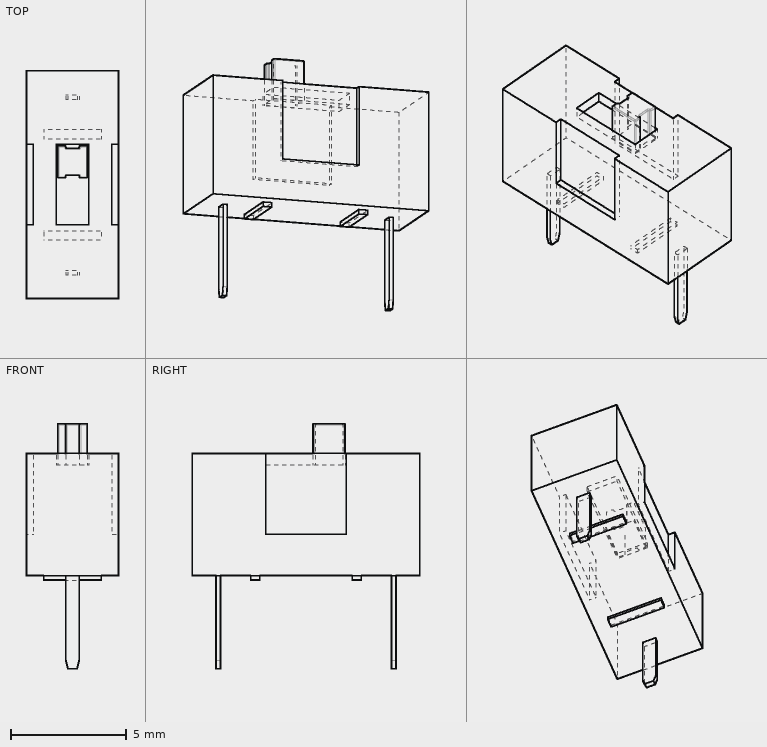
import cadquery as cq


body_width = 4.0
body_length = 9.9
body_height = 5.3

slot_width = 1.4
slot_length = 3.5
slot_depth = 0.5

recess_depth = 0.3
recess_height = 3.5

slider_width = 1.3
slider_length = 1.4
slider_projection = 1.3
slider_end_gap = 0.05
groove_width = 0.6
groove_depth = 0.11
slider_edge_radius = 0.05

rib_width = 2.5
rib_length = 0.4
rib_height = 0.2
rib_spacing = 4.4

pin_width = 0.6
pin_thickness = 0.2
pin_length = 4.05
pin_tip_width = 0.4
pin_taper_length = 0.38
pin_pitch = 7.62


def make_housing():
    """Block with the slider slot and the two side recesses."""
    base_only = (True, True, False)
    housing = cq.Workplane("XY").box(body_width, body_length, body_height, centered=base_only)
    slot = (
        cq.Workplane("XY", origin=(0, 0, body_height - slot_depth))
        .box(slot_width, slot_length, slot_depth, centered=base_only)
    )
    housing = housing.cut(slot)
    for side in (-1, 1):
        recess = (
            cq.Workplane("XY", origin=(side * body_width / 2, 0, body_height - recess_height))
            .box(2 * recess_depth, slot_length, recess_height, centered=base_only)
        )
        housing = housing.cut(recess)
    return housing


def make_slider():
    """Rounded block with a shallow vertical groove in each end."""
    height = slot_depth + slider_projection
    center_y = (slot_length - slider_length) / 2 - slider_end_gap
    floor = cq.Workplane("XY", origin=(0, center_y, body_height - slot_depth))
    slider = floor.rect(slider_width, slider_length).extrude(height)
    grooves = (
        floor.pushPoints([(0, -slider_length / 2), (0, slider_length / 2)])
        .rect(groove_width, 2 * groove_depth)
        .extrude(height)
    )
    slider = slider.cut(grooves)
    slider = slider.edges("|Z").fillet(slider_edge_radius)
    return slider.faces(">Z").edges().fillet(slider_edge_radius)


def make_rib(center_y):
    """Stand-off rib across the underside."""
    return (
        cq.Workplane("XY", origin=(0, center_y, 0))
        .rect(rib_width, rib_length)
        .extrude(-rib_height)
    )


def make_pin(center_y):
    """Flat pin with a tapered tip, hanging from the underside."""
    taper_start = pin_taper_length - pin_length
    return (
        cq.Workplane("XZ", origin=(0, center_y, 0))
        .moveTo(-pin_width / 2, 0)
        .lineTo(-pin_width / 2, taper_start)
        .lineTo(-pin_tip_width / 2, -pin_length)
        .lineTo(pin_tip_width / 2, -pin_length)
        .lineTo(pin_width / 2, taper_start)
        .lineTo(pin_width / 2, 0)
        .close()
        .extrude(pin_thickness / 2, both=True)
    )


result = make_housing().union(make_slider())
for end in (-1, 1):
    result = result.union(make_rib(end * rib_spacing / 2))
    result = result.union(make_pin(end * pin_pitch / 2))